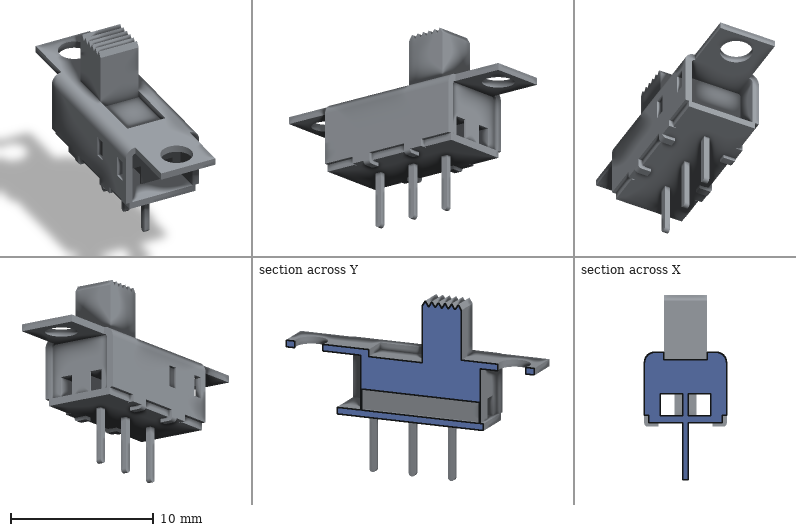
import cadquery as cq


plate_length = 19.0
plate_width = 4.3
sheet = 0.51
body_length = 11.21
body_width = 5.8
bend_radius = (body_width - plate_width) / 2
hole_diameter = 2.3
hole_spacing = 15.5
body_height = 4.98
base_thickness = 0.51
wall_height = body_height - base_thickness
inner_width = body_width - 2 * sheet

window_length = 0.8
window_height = 1.52
window_top = -1.31
window_centers = (1.67, 4.7)
detent_recess = 0.27

tab_inner_x = 1.58
tab_length = 1.54
hook_length = 0.53
hook_reach = 0.99
hook_thickness = 0.27
hook_radius = 0.25

base_width = 5.2
notch_clearance = 0.05

knob_size = 3.02
knob_left = -3.91
knob_height = 4.0
tooth_count = 6
tooth_height = 0.4
opening_length = 7.07
carriage_left = -5.38
carriage_right = 3.8
tunnel_inner_y = 0.76
tunnel_width = 0.99
web_width = 0.4
end_wall = 0.11
tunnel_height = 1.5

pin_width = 0.5
pin_thickness = 0.4
pin_bottom = -8.99
pin_pitch = 3.0


def block(x_range, y_range, z_range):
    """Box between two limits on each axis."""
    spans = [high - low for low, high in (x_range, y_range, z_range)]
    corner = (x_range[0], y_range[0], z_range[0])
    return cq.Workplane("XY").box(*spans, centered=False).translate(corner)


def centered_block(length, width, z_range):
    """Box centred on the Z axis."""
    return block((-length / 2, length / 2), (-width / 2, width / 2), z_range)


def channel_section(width, height, radius, top):
    """Solid bar along X, rounded along its two upper edges."""
    bar = centered_block(body_length, width, (-height, top))
    return bar.edges("|X and >Z").fillet(radius)


def make_frame():
    channel = channel_section(body_width, wall_height, bend_radius, 0)
    channel = channel.cut(channel_section(inner_width, wall_height, bend_radius - sheet, -sheet))
    plate = centered_block(plate_length, plate_width, (-sheet, 0))
    frame = channel.union(plate)
    holes = (
        cq.Workplane("XY")
        .pushPoints([(-hole_spacing / 2, 0), (hole_spacing / 2, 0)])
        .circle(hole_diameter / 2)
        .extrude(-sheet)
    )
    opening = block(
        (knob_left, knob_left + opening_length),
        (-knob_size / 2, knob_size / 2),
        (-sheet, 0),
    )
    frame = frame.cut(holes).cut(opening)
    for center in window_centers:
        frame = frame.cut(window_block(center, -body_width / 2))
    return frame


def window_block(center, front):
    """Block that fills a window from the given Y to the inner wall face."""
    return block(
        (center - window_length / 2, center + window_length / 2),
        (front, -inner_width / 2),
        (window_top - window_height, window_top),
    )


def make_tab():
    """Tab of the front wall, on the +X side, with its hook bent under the base."""
    front = -body_width / 2
    tab = block(
        (tab_inner_x, tab_inner_x + tab_length),
        (front, front + sheet),
        (-body_height, -wall_height),
    )
    hook = block(
        (tab_inner_x, tab_inner_x + hook_length),
        (front, front + hook_reach),
        (-body_height - hook_thickness, -body_height),
    )
    hook = hook.edges("|X and <Y and <Z").fillet(hook_radius)
    return tab.union(hook)


def make_notch():
    """Clearance in the base around one tab."""
    return block(
        (tab_inner_x - notch_clearance, tab_inner_x + tab_length + notch_clearance),
        (-body_width / 2, -inner_width / 2),
        (-body_height, -wall_height),
    )


def four_corners(shape):
    """The shape mirrored to both ends and both sides."""
    pair = shape.union(shape.mirror("YZ"))
    return pair.union(pair.mirror("XZ"))


def make_base():
    board = centered_block(body_length, base_width, (-body_height, -wall_height))
    return board.cut(four_corners(make_notch()))


def make_knob():
    pitch = knob_size / tooth_count
    valley = knob_height - tooth_height
    points = [(knob_left, -sheet), (knob_left, valley)]
    for tooth in range(tooth_count):
        tooth_left = knob_left + tooth * pitch
        points.append((tooth_left + pitch / 2, knob_height))
        points.append((tooth_left + pitch, valley))
    points.append((knob_left + knob_size, -sheet))
    return cq.Workplane("XZ").polyline(points).close().extrude(knob_size / 2, both=True)


def make_carriage():
    """Sliding block inside the frame, with two tunnels and a detent in the first window.

    Between its thin end walls the tunnels widen until a central web is left.
    """
    span = (carriage_left, carriage_right)
    carriage = block(span, (-inner_width / 2, inner_width / 2), (-wall_height, -sheet))
    carriage = carriage.edges("|X and >Z").fillet(bend_radius - sheet)
    tunnel_z = (-wall_height, -wall_height + tunnel_height)
    tunnel_outer_y = tunnel_inner_y + tunnel_width
    tunnel = block(span, (tunnel_inner_y, tunnel_outer_y), tunnel_z)
    tunnel = tunnel.union(
        block(
            (carriage_left + end_wall, carriage_right - end_wall),
            (web_width / 2, tunnel_outer_y),
            tunnel_z,
        )
    )
    carriage = carriage.cut(tunnel).cut(tunnel.mirror("XZ"))
    return carriage.union(window_block(window_centers[0], -body_width / 2 + detent_recess))


def make_pin(center):
    """Flat terminal with a fully rounded tip."""
    tip_start = pin_bottom + pin_width / 2
    return (
        cq.Workplane("XZ")
        .moveTo(center - pin_width / 2, -body_height)
        .lineTo(center - pin_width / 2, tip_start)
        .threePointArc((center, pin_bottom), (center + pin_width / 2, tip_start))
        .lineTo(center + pin_width / 2, -body_height)
        .close()
        .extrude(pin_thickness / 2, both=True)
    )


result = make_frame().union(four_corners(make_tab())).union(make_base())
result = result.union(make_carriage()).union(make_knob())
for pin_center in (-pin_pitch, 0, pin_pitch):
    result = result.union(make_pin(pin_center))